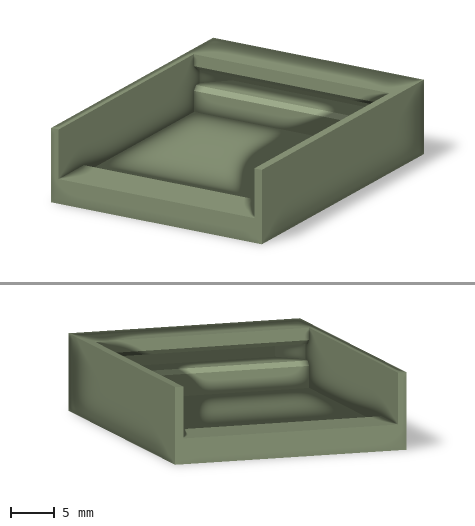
import cadquery as cq

width = 28.0
length = 36.0
height = 9.0
wall = 1.0
floor_height = 2.0

lip_height = 3.0
lip_length = 5.58

block_length = 5.98
slot_bottom = 5.1
slot_height = 1.9
slot_depth = 4.0
slot_corner = 2.7
mouth_chamfer = 0.55

inner_width = width - 2 * wall
block_face = length - block_length


def box_between(x_size, y_start, y_end, z_start, z_end):
    """Box centred on X between the given Y and Z limits."""
    return (
        cq.Workplane("XY")
        .box(x_size, y_end - y_start, z_end - z_start, centered=(True, False, False))
        .translate((0, y_start, z_start))
    )


def make_slot():
    """Slot with angled deep corners and a mouth flared above and below."""
    slot_top = slot_bottom + slot_height
    pocket = (
        box_between(inner_width, block_face, block_face + slot_depth, slot_bottom, slot_top)
        .edges("|Z and >Y")
        .chamfer(slot_corner)
    )
    flare = (
        cq.Workplane("YZ")
        .moveTo(block_face, slot_bottom - mouth_chamfer)
        .lineTo(block_face + mouth_chamfer, slot_bottom)
        .lineTo(block_face + mouth_chamfer, slot_top)
        .lineTo(block_face, slot_top + mouth_chamfer)
        .close()
        .extrude(inner_width / 2, both=True)
    )
    return pocket.union(flare)


body = box_between(width, 0, length, 0, height)
front_opening = box_between(inner_width, 0, block_face, lip_height, height)
floor_recess = box_between(inner_width, lip_length, block_face, floor_height, height)

result = body.cut(front_opening).cut(floor_recess).cut(make_slot())